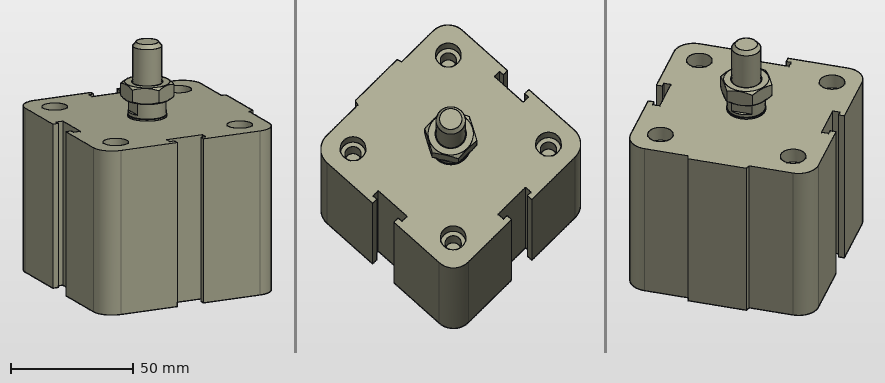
import cadquery as cq
import math

SIDE = 80.0
HALF_SIDE = SIDE / 2
HOUSING_HEIGHT = 69.9
CORNER_RADIUS = 8.4

PAD_HEIGHT = 2.0
PAD_TOP_WIDTH = 24.8
PAD_BASE_WIDTH = 26.0

SLOT_MOUTH_WIDTH = 12.0
SLOT_INNER_WIDTH = 16.2
SLOT_DEPTH = 5.6
SLOT_LIP = 2.5
SLOT_ANGLES = (0, 180, 270)

HOLE_OFFSET = 28.2
COUNTERBORE_DIAMETER = 10.5
COUNTERBORE_DEPTH = 6.3
HOLE_DIAMETER = 6.6
HOLE_DEPTH = 14.4

ROD_TOP = 101.5
COLLAR_DIAMETER = 16.0
COLLAR_HEIGHT = 0.8
NECK_DIAMETER = 15.6
NECK_TOP = 77.4
NECK_CHAMFER = 0.5
WRENCH_FLATS = 13.0
FLATS_BOTTOM = 72.1
THREAD_DIAMETER = 12.0
THREAD_TIP_DIAMETER = 9.1
THREAD_CHAMFER_LENGTH = 1.7

NUT_ACROSS_FLATS = 19.0
NUT_ACROSS_CORNERS = NUT_ACROSS_FLATS / math.cos(math.pi / 6)
NUT_HEIGHT = 7.0
NUT_FACE_DIAMETER = 18.5
NUT_CHAMFER_ANGLE = 30
NUT_COUNTERSINK_DIAMETER = 12.8


def t_slot(angle):
    """T-shaped prism cut into the side that faces the given angle."""
    mouth = (
        cq.Workplane("XY", origin=(HALF_SIDE - SLOT_LIP, 0, 0))
        .box(SLOT_LIP, SLOT_MOUTH_WIDTH, HOUSING_HEIGHT, centered=(False, True, False))
    )
    inner = (
        cq.Workplane("XY", origin=(HALF_SIDE - SLOT_DEPTH, 0, 0))
        .box(SLOT_DEPTH - SLOT_LIP, SLOT_INNER_WIDTH, HOUSING_HEIGHT, centered=(False, True, False))
    )
    return mouth.union(inner).rotate((0, 0, 0), (0, 0, 1), angle)


def make_housing():
    """Square block with rounded corners, pad, T-slots and corner holes."""
    body = cq.Workplane("XY").rect(SIDE, SIDE).extrude(HOUSING_HEIGHT).edges("|Z").fillet(CORNER_RADIUS)
    pad = (
        cq.Workplane("XY")
        .polyline([
            (-PAD_BASE_WIDTH / 2, HALF_SIDE),
            (PAD_BASE_WIDTH / 2, HALF_SIDE),
            (PAD_TOP_WIDTH / 2, HALF_SIDE + PAD_HEIGHT),
            (-PAD_TOP_WIDTH / 2, HALF_SIDE + PAD_HEIGHT),
        ])
        .close()
        .extrude(HOUSING_HEIGHT)
    )
    body = body.union(pad)
    for angle in SLOT_ANGLES:
        body = body.cut(t_slot(angle))
    return (
        body.faces(">Z")
        .workplane(origin=(0, 0, HOUSING_HEIGHT))
        .rect(2 * HOLE_OFFSET, 2 * HOLE_OFFSET, forConstruction=True)
        .vertices()
        .cboreHole(HOLE_DIAMETER, COUNTERBORE_DIAMETER, COUNTERBORE_DEPTH, HOLE_DEPTH)
    )


def make_rod():
    """Stepped rod standing on the housing: collar, neck with two flats, threaded end."""
    collar = (
        cq.Workplane("XY", origin=(0, 0, HOUSING_HEIGHT))
        .circle(COLLAR_DIAMETER / 2)
        .extrude(COLLAR_HEIGHT)
        .faces(">Z")
        .chamfer((COLLAR_DIAMETER - NECK_DIAMETER) / 2)
    )
    neck = (
        cq.Workplane("XY", origin=(0, 0, HOUSING_HEIGHT))
        .circle(NECK_DIAMETER / 2)
        .extrude(NECK_TOP - HOUSING_HEIGHT)
        .faces(">Z")
        .chamfer(NECK_CHAMFER)
    )
    flats_height = NECK_TOP - FLATS_BOTTOM
    flat_cut_depth = NECK_DIAMETER - WRENCH_FLATS
    for side in (-1, 1):
        cutter_center = side * (WRENCH_FLATS + flat_cut_depth) / 2
        cutter = (
            cq.Workplane("XY", origin=(0, cutter_center, FLATS_BOTTOM))
            .box(NECK_DIAMETER, flat_cut_depth, flats_height, centered=(True, True, False))
        )
        neck = neck.cut(cutter)
    thread = (
        cq.Workplane("XY", origin=(0, 0, NECK_TOP))
        .circle(THREAD_DIAMETER / 2)
        .extrude(ROD_TOP - NECK_TOP)
        .faces(">Z")
        .chamfer(THREAD_CHAMFER_LENGTH, (THREAD_DIAMETER - THREAD_TIP_DIAMETER) / 2)
    )
    return collar.union(neck).union(thread)


def make_nut():
    """Hexagon nut on the thread, resting on the neck, corners chamfered on both faces."""
    hexagon = cq.Workplane("XY").polygon(6, NUT_ACROSS_CORNERS).extrude(NUT_HEIGHT)
    face_radius = NUT_FACE_DIAMETER / 2
    corner_radius = NUT_ACROSS_CORNERS / 2
    bevel = (corner_radius - face_radius) * math.tan(math.radians(NUT_CHAMFER_ANGLE))
    envelope = (
        cq.Workplane("XZ")
        .polyline([
            (0, 0),
            (face_radius, 0),
            (corner_radius, bevel),
            (corner_radius, NUT_HEIGHT - bevel),
            (face_radius, NUT_HEIGHT),
            (0, NUT_HEIGHT),
        ])
        .close()
        .revolve(360, (0, 0, 0), (0, 1, 0))
    )
    countersink = (NUT_COUNTERSINK_DIAMETER - THREAD_DIAMETER) / 2
    nut = hexagon.intersect(envelope).faces(">Z").workplane().hole(THREAD_DIAMETER)
    nut = nut.faces("<Z or >Z").edges(cq.selectors.RadiusNthSelector(0)).chamfer(countersink)
    return nut.translate((0, 0, NECK_TOP))


housing = make_housing()
rod = make_rod()
nut = make_nut()

result = cq.Compound.makeCompound([housing.val(), rod.val(), nut.val()])